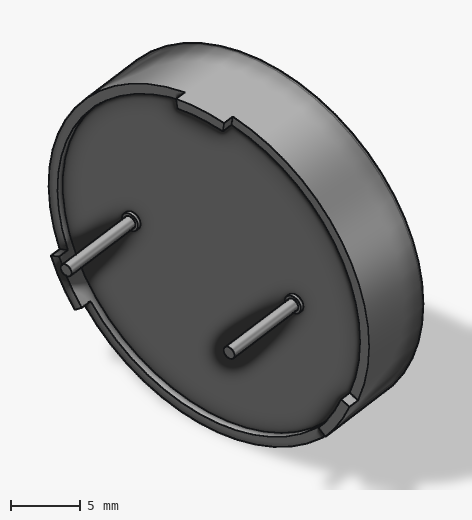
import cadquery as cq
import math

outer_radius = 15.0
wall_thickness = 0.85
inner_radius = outer_radius - wall_thickness
body_depth = 6.5
back_edge_radius = 0.45
recess_depth = 0.6

tab_height = 1.0
tab_half_angle = 8.6
tab_count = 3
tab_pitch = 360 / tab_count
first_tab_angle = 90
gap_margin = 0.3
gap_inner_radius = inner_radius - gap_margin
gap_outer_radius = outer_radius + gap_margin

total_depth = 13.5
pin_length = total_depth - body_depth
pin_radius = 0.5
pin_offset = 7.62
collar_radius = 0.75
collar_height = 0.3
root_embedding = 0.6


def cylinder_toward_front(radius, start_y, length, x=0):
    """Cylinder along Y that starts at start_y and extends toward -Y."""
    plane = cq.Workplane("XZ", origin=(x, start_y, 0))
    return plane.circle(radius).extrude(length)


def rim_point(radius, angle):
    """Point on a circle about the housing axis, with the angle in degrees from +X."""
    return radius * math.cos(math.radians(angle)), radius * math.sin(math.radians(angle))


def make_housing():
    body = cylinder_toward_front(outer_radius, body_depth, body_depth + tab_height)
    body = body.faces(">Y").edges().fillet(back_edge_radius)
    return body.cut(cylinder_toward_front(inner_radius, recess_depth, recess_depth + tab_height))


def make_gap(start, end):
    """Sector that clears the rim down to Y = 0 between two tabs."""
    middle = (start + end) / 2
    return (
        cq.Workplane("XZ")
        .moveTo(*rim_point(gap_inner_radius, start))
        .lineTo(*rim_point(gap_outer_radius, start))
        .threePointArc(rim_point(gap_outer_radius, middle), rim_point(gap_outer_radius, end))
        .lineTo(*rim_point(gap_inner_radius, end))
        .threePointArc(rim_point(gap_inner_radius, middle), rim_point(gap_inner_radius, start))
        .close()
        .extrude(tab_height)
    )


def make_pin(x):
    root_y = recess_depth + root_embedding
    pin = cylinder_toward_front(pin_radius, root_y, root_y + pin_length, x)
    collar = cylinder_toward_front(collar_radius, root_y, root_embedding + collar_height, x)
    return pin.union(collar)


result = make_housing()
for index in range(tab_count):
    tab_angle = first_tab_angle + index * tab_pitch
    result = result.cut(make_gap(tab_angle + tab_half_angle, tab_angle + tab_pitch - tab_half_angle))
for pin_x in (-pin_offset, pin_offset):
    result = result.union(make_pin(pin_x))